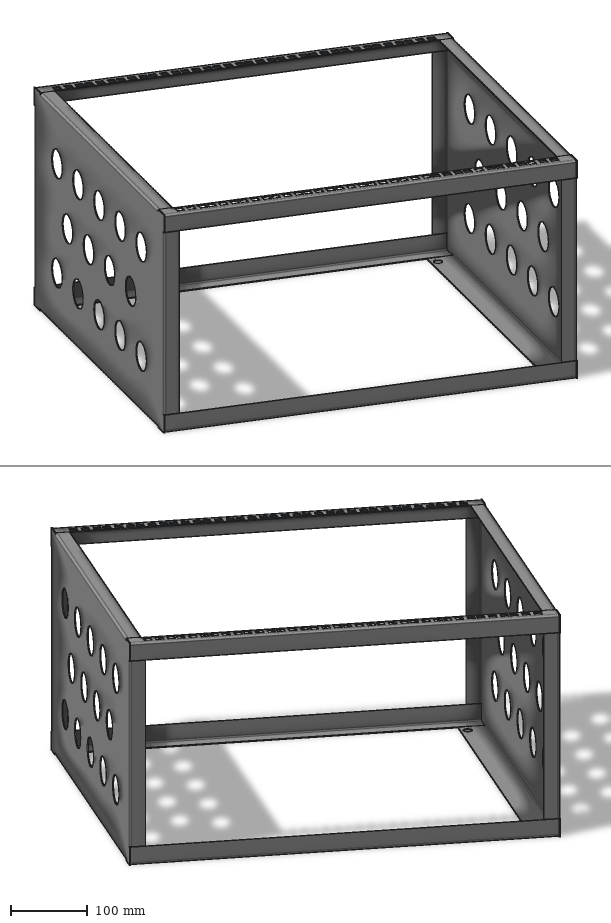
import cadquery as cq
width = 492.0
length = 574.5
height = 305.0

sheet = 1.5
bend_radius = 3.15
inner_radius = bend_radius - sheet
fold_gap = 0.3

rail_top_leg = 22.0
rail_side_leg = 24.5
rail_length = length - 2 * sheet

rail_relief = 1.0
relief_inset = 20.0
relief_length = length - 2 * relief_inset

rack_units = 12
cage_hole = 10.0
cage_row_length = 520.5
cage_row_spacing = 465.0
cage_pitch_share = 5 / 14
rack_unit = cage_row_length / (rack_units - 1 + 2 * cage_pitch_share)
cage_pitch = rack_unit * cage_pitch_share

top_flange = 20.0
bottom_flange = 37.0
side_flange = 22.0
top_fold_length = width - 2 * (rail_top_leg + fold_gap)
side_fold_length = height - 2 * (rail_side_leg + fold_gap)
fold_lap = 2 * bend_radius

vent_diameter = 39.5
vent_pitch = 80.0
vent_row_pitch = 76.5
vents_per_row = (5, 4, 5)

mount_diameter = 12.0
mount_spacing_x = 418.5
mount_spacing_y = 520.5

cut_depth = 2 * sheet

sides = (-1, 1)


def folded_angle(corner, first_leg_direction, run_direction, first_leg, second_leg, run):
    """L-section with a rounded bend at `corner`, extruded evenly both ways along `run_direction`."""
    plane = cq.Plane(corner, first_leg_direction, run_direction)
    return (
        cq.Workplane(plane)
        .moveTo(bend_radius, 0)
        .lineTo(first_leg, 0)
        .lineTo(first_leg, sheet)
        .lineTo(bend_radius, sheet)
        .radiusArc((sheet, bend_radius), inner_radius)
        .lineTo(sheet, second_leg)
        .lineTo(0, second_leg)
        .lineTo(0, bend_radius)
        .radiusArc((bend_radius, 0), -bend_radius)
        .close()
        .extrude(run / 2, both=True)
    )


def plain_rail():
    """Angle along the upper -X edge of the frame."""
    corner = (-width / 2, 0, height / 2)
    rail = folded_angle(corner, (1, 0, 0), (0, 1, 0), rail_top_leg, rail_side_leg, rail_length)
    relief = (
        cq.Workplane("XY")
        .box(2 * rail_relief, relief_length, 2 * cut_depth)
        .translate((rail_top_leg - width / 2, 0, height / 2))
    )
    return rail.cut(relief)


def cage_hole_positions():
    """Y places of the cage holes: one in the middle of each rack unit and one on either side."""
    positions = []
    for unit in range(rack_units):
        unit_middle = (unit - (rack_units - 1) / 2) * rack_unit
        for step in (-1, 0, 1):
            positions.append(unit_middle + step * cage_pitch)
    return positions


def punched_rail():
    """Plain rail with the row of square holes in its top leg."""
    holes = (
        cq.Workplane("XY", origin=(-cage_row_spacing / 2, 0, height / 2))
        .pushPoints([(0, y) for y in cage_hole_positions()])
        .rect(cage_hole, cage_hole)
        .extrude(-cut_depth)
    )
    return plain_rail().cut(holes)


def panel_plate():
    """Flat part of the -Y panel, with square corners, cut back to the bends along each edge."""
    plate = cq.Workplane("XY").box(width, sheet, height)
    top_strip = cq.Workplane("XY").box(top_fold_length, sheet, 2 * bend_radius)
    side_strip = cq.Workplane("XY").box(2 * bend_radius, sheet, side_fold_length)
    for side in sides:
        plate = plate.cut(top_strip.translate((0, 0, side * height / 2)))
        plate = plate.cut(side_strip.translate((side * width / 2, 0, 0)))
    return plate.translate((0, (sheet - length) / 2, 0))


def vent_positions():
    """X and Z places of the vent holes."""
    positions = []
    for row, count in enumerate(vents_per_row):
        z = (row - (len(vents_per_row) - 1) / 2) * vent_row_pitch
        for column in range(count):
            positions.append(((column - (count - 1) / 2) * vent_pitch, z))
    return positions


def end_panel():
    """The -Y panel: plate, four folded flanges, vents and mounting holes."""
    front = -length / 2
    inward = (0, 1, 0)
    top_corner = (0, front, height / 2)
    bottom_corner = (0, front, -height / 2)

    panel = panel_plate()
    panel = panel.union(
        folded_angle(top_corner, inward, (-1, 0, 0), top_flange, fold_lap, top_fold_length)
    )
    panel = panel.union(
        folded_angle(bottom_corner, inward, (1, 0, 0), bottom_flange, fold_lap, top_fold_length)
    )
    for side in sides:
        side_corner = (side * width / 2, front, 0)
        panel = panel.union(
            folded_angle(side_corner, inward, (0, 0, side), side_flange, fold_lap, side_fold_length)
        )

    vents = (
        cq.Workplane("XZ", origin=(0, front, 0))
        .pushPoints(vent_positions())
        .circle(vent_diameter / 2)
        .extrude(-cut_depth)
    )
    mounts = (
        cq.Workplane("XY", origin=(0, -mount_spacing_y / 2, -height / 2))
        .pushPoints([(side * mount_spacing_x / 2, 0) for side in sides])
        .circle(mount_diameter / 2)
        .extrude(cut_depth)
    )
    return panel.cut(vents).cut(mounts)


upper_rail = punched_rail()
lower_rail = plain_rail().mirror("XY")
rails = []
for rail in (upper_rail, lower_rail):
    rails.append(rail.val())
    rails.append(rail.mirror("YZ").val())

front_panel = end_panel()
back_panel = front_panel.mirror("XZ")

result = cq.Compound.makeCompound([*rails, front_panel.val(), back_panel.val()])